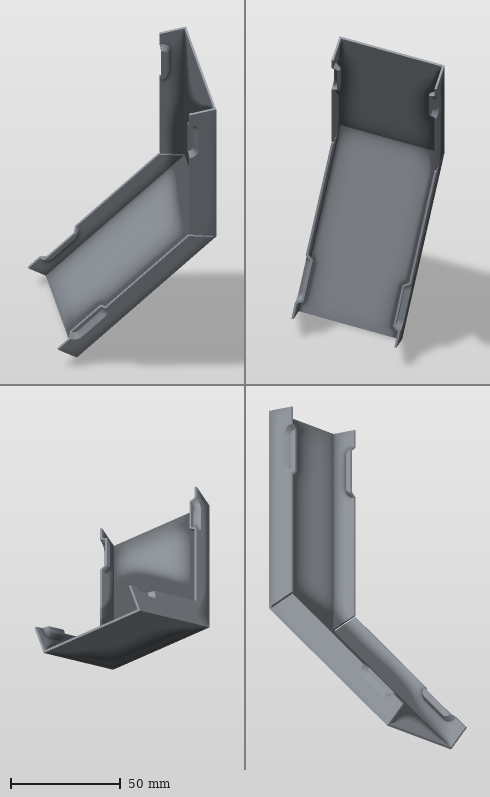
import cadquery as cq
import math

height = 159.2
width = 50.0
flange_depth = 12.5
sheet = 1.0
bend_angle = 45.0
relief_gap = 1.0

dimple_straight = 15.0
dimple_radius = 4.1
dimple_depth = 2.7
dimple_taper = 35.0
dimple_from_end = 19.9

leg_length = height / (1 + math.cos(math.radians(bend_angle)))
miter_slope = math.tan(math.radians(bend_angle / 2))
half_gap_rise = relief_gap / 2 / math.cos(math.radians(bend_angle / 2))


def side_prism(points, x_width):
    """Extrude a (y, z) outline symmetrically along X."""
    return cq.Workplane("YZ").polyline(points).close().extrude(x_width / 2, both=True)


def miter_height(depth):
    """Height of the miter plane at a depth in front of the back face."""
    return depth * miter_slope


def tapered_slot(radius, depth):
    """Tapered slot centred on the left flange edge, running inwards along X."""
    return (
        cq.Workplane("YZ", origin=(-width / 2, -flange_depth, leg_length - dimple_from_end))
        .slot2D(dimple_straight + 2 * radius, 2 * radius, 90)
        .extrude(depth, taper=dimple_taper)
    )


def make_channel():
    """Upright U channel, mitered at the bend, with its flanges set back from the miter."""
    back = side_prism(
        [(0, 0), (0, leg_length), (-sheet, leg_length), (-sheet, miter_height(sheet))], width
    )
    flanges = side_prism(
        [
            (-sheet, miter_height(sheet) + half_gap_rise),
            (-sheet, leg_length),
            (-flange_depth, leg_length),
            (-flange_depth, miter_height(flange_depth) + half_gap_rise),
        ],
        width,
    )
    inside = cq.Workplane("XY").box(width - 2 * sheet, 2 * flange_depth, 4 * leg_length)
    inside = inside.translate((0, -flange_depth - sheet, 0))
    return back.union(flanges.cut(inside))


def add_dimples(channel):
    """Press a dimple of constant sheet thickness into each flange edge."""
    wall_offset = sheet / math.cos(math.radians(dimple_taper))
    pad = tapered_slot(dimple_radius + wall_offset, dimple_depth + sheet)
    beyond_edge = cq.Workplane("XY").box(2 * width, flange_depth, 4 * leg_length)
    pad = pad.cut(beyond_edge.translate((0, -1.5 * flange_depth, 0)))
    hollow = tapered_slot(dimple_radius, dimple_depth)
    for side_pad, side_hollow in ((pad, hollow), (pad.mirror("YZ"), hollow.mirror("YZ"))):
        channel = channel.union(side_pad).cut(side_hollow)
    return channel


upright_leg = add_dimples(make_channel())
sloping_leg = upright_leg.mirror("XY").rotate((0, 0, 0), (1, 0, 0), -bend_angle)
result = upright_leg.union(sloping_leg)